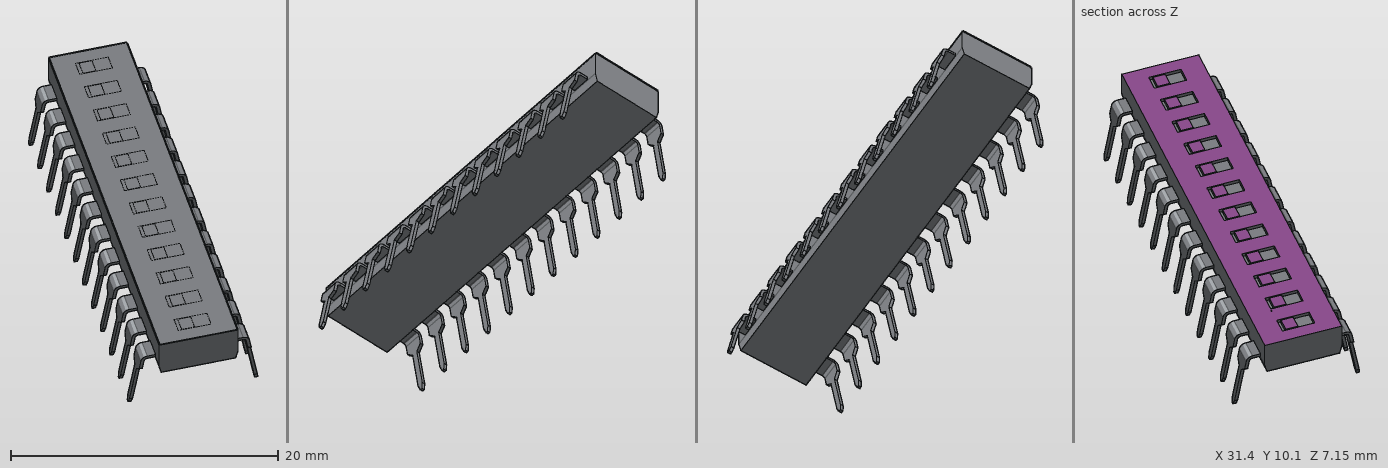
import cadquery as cq
import math

length = 31.45
row_span = 10.1
height = 7.15

body_length = 31.35
body_width = 6.15
body_height = 3.05
taper_height = 0.72
base_width = 5.8

film_width = 6.0
film_thickness = 0.08

switch_count = 12
pitch = 2.55

lead_thickness = 0.25
lead_tilt = math.radians(10)
bend_radius = 0.5
lead_top_depth = 1.98
root_depth = 0.3
shoulder_width = 1.5
shoulder_end_depth = 3.18
pin_width = 0.5
pin_start_depth = 3.6
tip_width = 0.2
tip_length = 0.47

window_width = 1.2
window_length = 2.55
window_depth = 0.5
slider_width = 1.1
slider_length = 1.0
slider_center_y = -0.5

film_bottom = -film_thickness


def make_housing():
    half_width = body_width / 2
    half_base = base_width / 2
    taper_start = taper_height - body_height
    section = [
        (-half_width, film_bottom),
        (half_width, film_bottom),
        (half_width, taper_start),
        (half_base, -body_height),
        (-half_base, -body_height),
        (-half_width, taper_start),
    ]
    return cq.Workplane("YZ").polyline(section).close().extrude(body_length / 2, both=True)


def make_window(x):
    """Hollow of one switch: a rectangular pocket partly filled by its slider."""

    def block(width, length_y, center_y):
        top_face = cq.Workplane("XY", origin=(x, center_y, film_bottom))
        return top_face.rect(width, length_y).extrude(-window_depth)

    slider = block(slider_width, slider_length, slider_center_y)
    return block(window_width, window_length, 0).cut(slider)


def make_film():
    film = cq.Workplane("XY", origin=(0, 0, film_bottom))
    return film.rect(length, film_width).extrude(film_thickness)


def make_lead_strip():
    """Bent strip of full shoulder width, leaving the housing toward +Y."""
    sin_tilt = math.sin(lead_tilt)
    cos_tilt = math.cos(lead_tilt)
    inner_radius = bend_radius - lead_thickness

    foot_outer = (row_span / 2, lead_thickness * sin_tilt - height)
    foot_inner = (foot_outer[0] - lead_thickness * cos_tilt, -height)

    bend_center_z = -lead_top_depth - bend_radius
    bend_end_z = bend_center_z + bend_radius * sin_tilt
    bend_end_y = foot_outer[0] - (bend_end_z - foot_outer[1]) * math.tan(lead_tilt)
    bend_center_y = bend_end_y - bend_radius * cos_tilt

    def on_bend(radius, angle):
        return (bend_center_y + radius * math.cos(angle), bend_center_z + radius * math.sin(angle))

    top = math.pi / 2
    middle = (top + lead_tilt) / 2
    root_y = body_width / 2 - root_depth
    strip = (
        cq.Workplane("YZ")
        .moveTo(root_y, -lead_top_depth)
        .lineTo(*on_bend(bend_radius, top))
        .threePointArc(on_bend(bend_radius, middle), on_bend(bend_radius, lead_tilt))
        .lineTo(*foot_outer)
        .lineTo(*foot_inner)
        .lineTo(*on_bend(inner_radius, lead_tilt))
        .threePointArc(on_bend(inner_radius, middle), on_bend(inner_radius, top))
        .lineTo(root_y, -lead_top_depth - lead_thickness)
        .close()
    )
    return strip.extrude(shoulder_width / 2, both=True)


def make_lead():
    """One lead: the bent strip trimmed to a shoulder, a narrow pin and a pointed tip."""
    half_outline = [
        (shoulder_width / 2, 0),
        (shoulder_width / 2, -shoulder_end_depth),
        (pin_width / 2, -pin_start_depth),
        (pin_width / 2, tip_length - height),
        (tip_width / 2, -height),
    ]
    mirrored = [(-x, z) for x, z in reversed(half_outline)]
    outline = cq.Workplane("XZ").polyline(half_outline + mirrored).close().extrude(-row_span)
    return make_lead_strip().intersect(outline)


switch_positions = [(i - (switch_count - 1) / 2) * pitch for i in range(switch_count)]

result = make_housing()
for switch_x in switch_positions:
    result = result.cut(make_window(switch_x))
result = result.union(make_film())

lead = make_lead()
opposite_lead = lead.mirror("XZ")
for switch_x in switch_positions:
    result = result.union(lead.translate((switch_x, 0, 0)))
    result = result.union(opposite_lead.translate((switch_x, 0, 0)))